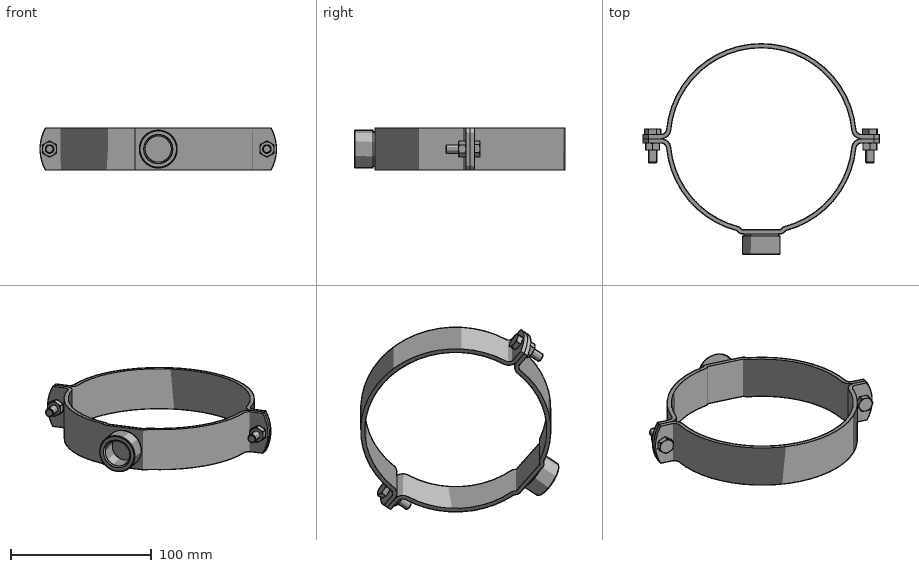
import cadquery as cq
import math

BAND_WIDTH = 30.0
THICKNESS = 3.0
RING_RADIUS = 67.5
EAR_BEND_RADIUS = 4.0

SPAN = 168.0
EAR_TIP_RADIUS = 30.2

SEAT_HALF_LENGTH = 13.5
SEAT_FOLD_RADIUS = 1.0
RING_FOLD_RADIUS = 0.5

BOLT_X = 77.1
BOLT_DIAMETER = 6.0
BOLT_REACH = 20.2
BOLT_TIP_CHAMFER = 0.5
HEX_FLATS = 10.0
HEAD_HEIGHT = 4.0
NUT_HEIGHT = 5.0
HEX_CUT_HEIGHT = 0.3
HEX_CUT_DEPTH = 0.7
LEFT_HEAD_TURN = 0
RIGHT_HEAD_TURN = 25
NUT_TURN = 30

SOCKET_DIAMETER = 26.9
SOCKET_LENGTH = 14.6
SOCKET_CHAMFER = 0.5
NECK_DIAMETER = 24.9
NECK_LENGTH = 1.5
BORE_DIAMETER = 18.6
BORE_CHAMFER = 1.0

RING_INNER_RADIUS = RING_RADIUS - THICKNESS

EAR_BEND_Y = THICKNESS + EAR_BEND_RADIUS
EAR_BEND_REACH = RING_RADIUS + EAR_BEND_RADIUS
EAR_BEND_ANGLE = math.asin(EAR_BEND_Y / EAR_BEND_REACH)
EAR_START_X = EAR_BEND_REACH * math.cos(EAR_BEND_ANGLE)

SEAT_FOLD_X = SEAT_HALF_LENGTH
SEAT_FOLD_Y = -RING_RADIUS + THICKNESS + SEAT_FOLD_RADIUS

FOLD_SPACING = RING_FOLD_RADIUS + THICKNESS + SEAT_FOLD_RADIUS
RING_FOLD_REACH = RING_RADIUS + RING_FOLD_RADIUS
SEAT_FOLD_REACH = math.hypot(SEAT_FOLD_X, SEAT_FOLD_Y)
FOLD_TURN = math.acos(
    (RING_FOLD_REACH**2 - SEAT_FOLD_REACH**2 - FOLD_SPACING**2) / (2 * SEAT_FOLD_REACH * FOLD_SPACING)
)
FOLD_ANGLE = math.atan2(SEAT_FOLD_Y, SEAT_FOLD_X) + FOLD_TURN
RING_FOLD_X = SEAT_FOLD_X + FOLD_SPACING * math.cos(FOLD_ANGLE)
RING_FOLD_Y = SEAT_FOLD_Y + FOLD_SPACING * math.sin(FOLD_ANGLE)
RING_END_ANGLE = math.atan2(RING_FOLD_Y, RING_FOLD_X)


def curved_strip(center, inner_radius, start, end):
    """Stretch of the strip bent round a centre, from one angle to another."""
    outer_radius = inner_radius + THICKNESS
    middle = (start + end) / 2

    def at(radius, angle):
        return radius * math.cos(angle), radius * math.sin(angle)

    return (
        cq.Workplane("XY", origin=(center[0], center[1], -BAND_WIDTH / 2))
        .moveTo(*at(outer_radius, start))
        .threePointArc(at(outer_radius, middle), at(outer_radius, end))
        .lineTo(*at(inner_radius, end))
        .threePointArc(at(inner_radius, middle), at(inner_radius, start))
        .close()
        .extrude(BAND_WIDTH)
    )


def ear():
    """Right ear of the upper half, with its rounded tip, bolt hole and bend up to the ring."""
    half_width = BAND_WIDTH / 2
    tip_drop = EAR_TIP_RADIUS - math.sqrt(EAR_TIP_RADIUS**2 - half_width**2)
    corner_x = SPAN / 2 - tip_drop
    plate = (
        cq.Workplane("XZ")
        .moveTo(EAR_START_X, -half_width)
        .lineTo(corner_x, -half_width)
        .threePointArc((SPAN / 2, 0), (corner_x, half_width))
        .lineTo(EAR_START_X, half_width)
        .close()
        .moveTo(BOLT_X, 0)
        .circle(BOLT_DIAMETER / 2)
        .extrude(-THICKNESS)
    )
    bend = curved_strip(
        (EAR_START_X, EAR_BEND_Y), EAR_BEND_RADIUS, math.pi + EAR_BEND_ANGLE, 1.5 * math.pi
    )
    return [plate, bend]


def seat_folds():
    """Right pair of opposite folds that joins the ring to the seat."""
    ring_fold = curved_strip(
        (RING_FOLD_X, RING_FOLD_Y), RING_FOLD_RADIUS, math.pi + FOLD_ANGLE, math.pi + RING_END_ANGLE
    )
    seat_fold = curved_strip((SEAT_FOLD_X, SEAT_FOLD_Y), SEAT_FOLD_RADIUS, -math.pi / 2, FOLD_ANGLE)
    return [ring_fold, seat_fold]


def with_mirror(pieces, plane):
    return pieces + [piece.mirror(plane) for piece in pieces]


def join(pieces):
    """Fuse the stretches of a half band, keeping the seams where they meet."""
    band = pieces[0]
    for piece in pieces[1:]:
        band = band.union(piece, clean=False)
    return band


def make_upper_band():
    ring = curved_strip((0, 0), RING_INNER_RADIUS, EAR_BEND_ANGLE, math.pi - EAR_BEND_ANGLE)
    return join([ring] + with_mirror(ear(), "YZ"))


def make_lower_band():
    seat = cq.Workplane("XY").box(2 * SEAT_HALF_LENGTH, THICKNESS, BAND_WIDTH)
    seat = seat.translate((0, -RING_RADIUS + THICKNESS / 2, 0))
    ring = curved_strip((0, 0), RING_INNER_RADIUS, RING_END_ANGLE, -EAR_BEND_ANGLE)
    lower_ear = [piece.mirror("XZ") for piece in ear()]
    right_side = seat_folds() + [ring] + lower_ear
    return join([seat] + with_mirror(right_side, "YZ"))


def hexagon(height, cut_faces):
    """Hexagonal prism along Z with its corners cut conically at the chosen ends."""
    corner_diameter = HEX_FLATS / math.cos(math.pi / 6)
    envelope = (
        cq.Workplane("XY")
        .circle(corner_diameter / 2)
        .extrude(height)
        .faces(cut_faces)
        .chamfer(HEX_CUT_HEIGHT, HEX_CUT_DEPTH)
    )
    return cq.Workplane("XY").polygon(6, corner_diameter).extrude(height).intersect(envelope)


def make_bolt(x, head_turn):
    """Bolt with its head on the upper ear, pointing toward -Y."""
    head = hexagon(HEAD_HEIGHT, ">Z").rotate((0, 0, 0), (0, 0, 1), head_turn)
    shank = (
        cq.Workplane("XY")
        .circle(BOLT_DIAMETER / 2)
        .extrude(-BOLT_REACH)
        .faces("<Z")
        .chamfer(BOLT_TIP_CHAMFER)
    )
    return head.union(shank).rotate((0, 0, 0), (1, 0, 0), -90).translate((x, THICKNESS, 0))


def make_nut(x):
    """Nut under the lower ear."""
    nut = hexagon(NUT_HEIGHT, "<Z or >Z").rotate((0, 0, 0), (0, 0, 1), NUT_TURN)
    nut = nut.cut(cq.Workplane("XY").circle(BOLT_DIAMETER / 2).extrude(NUT_HEIGHT))
    return nut.rotate((0, 0, 0), (1, 0, 0), 90).translate((x, -THICKNESS, 0))


def make_socket():
    """Turned socket: its half section revolved about the Y axis, open end toward -Y."""
    outer = SOCKET_DIAMETER / 2
    neck = NECK_DIAMETER / 2
    bore = BORE_DIAMETER / 2
    socket = (
        cq.Workplane("XY")
        .polyline([
            (bore, 0),
            (neck, 0),
            (neck, -NECK_LENGTH),
            (outer, -NECK_LENGTH),
            (outer, SOCKET_CHAMFER - SOCKET_LENGTH),
            (outer - SOCKET_CHAMFER, -SOCKET_LENGTH),
            (bore + BORE_CHAMFER, -SOCKET_LENGTH),
            (bore, BORE_CHAMFER - SOCKET_LENGTH),
        ])
        .close()
        .revolve(360, (0, 0, 0), (0, 1, 0))
    )
    return socket.translate((0, -RING_RADIUS, 0))


upper_band = make_upper_band()
lower_band = make_lower_band()
bolts = [make_bolt(-BOLT_X, LEFT_HEAD_TURN), make_bolt(BOLT_X, RIGHT_HEAD_TURN)]
nuts = [make_nut(x) for x in (-BOLT_X, BOLT_X)]
socket = make_socket()

bodies = [upper_band, lower_band, *bolts, *nuts, socket]
result = cq.Compound.makeCompound([body.val() for body in bodies])